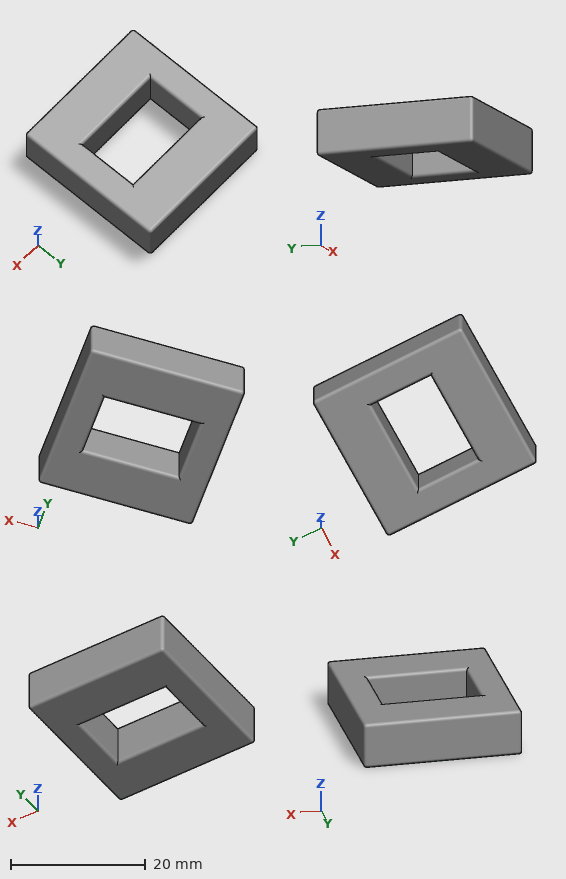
import cadquery as cq

width = 24.0
depth = 25.0
height = 7.0

window_width = 15.0
window_depth = 10.0

edge_radius = 0.5


def rounded_block():
    """Block with all twelve edges rounded."""
    return cq.Workplane("XY").box(width, depth, height).edges().fillet(edge_radius)


def cut_window(block):
    """Cut the window with sharp upright corners and round its top and bottom rims."""
    opening = cq.Workplane("XY").box(window_width, window_depth, height)
    pierced = block.cut(opening)
    rim_selector = cq.selectors.BoxSelector(
        (-window_width / 2 - edge_radius, -window_depth / 2 - edge_radius, -height),
        (window_width / 2 + edge_radius, window_depth / 2 + edge_radius, height),
    )
    return pierced.edges(rim_selector).edges("#Z").fillet(edge_radius)


result = cut_window(rounded_block())